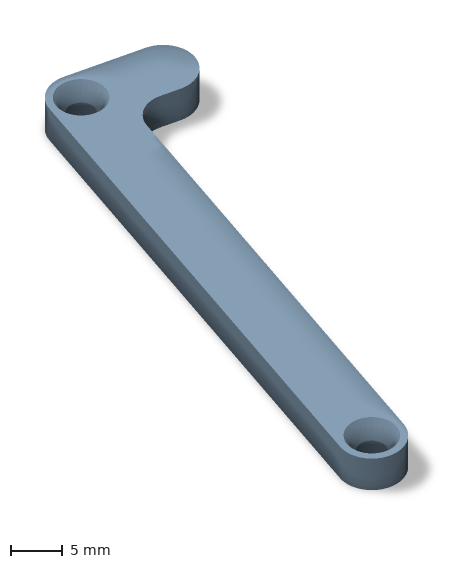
import cadquery as cq
import math

length = 65.2
depth = 16.1
thickness = 4.0

bar_width = 7.05
end_radius = bar_width / 2
inner_corner_radius = 3.25

hole_diameter = 3.1
sink_diameter = 5.5
sink_depth = thickness / 2
sink_angle = 2 * math.degrees(math.atan2((sink_diameter - hole_diameter) / 2, sink_depth))
hole_spacing = length - bar_width


def bar():
    """Long bar along X with full-round ends."""
    return (
        cq.Workplane("XY")
        .center(length / 2, end_radius)
        .slot2D(length, bar_width)
        .extrude(thickness)
    )


def leg():
    """Short leg along Y, sharing the left rounded end of the bar."""
    return (
        cq.Workplane("XY")
        .center(end_radius, depth / 2)
        .slot2D(depth, bar_width, 90)
        .extrude(thickness)
    )


def round_inner_corner(body):
    """Fillet the inside corner where the leg meets the bar."""
    inner_edge = cq.selectors.NearestToPointSelector((bar_width, bar_width, thickness / 2))
    return body.edges("|Z").edges(inner_edge).fillet(inner_corner_radius)


def cut_screw_holes(body):
    """Countersink both screw holes from the top face."""
    return (
        body.faces(">Z")
        .workplane(origin=(end_radius, end_radius, thickness))
        .pushPoints([(0, 0), (hole_spacing, 0)])
        .cskHole(hole_diameter, sink_diameter, sink_angle)
    )


result = cut_screw_holes(round_inner_corner(bar().union(leg())))